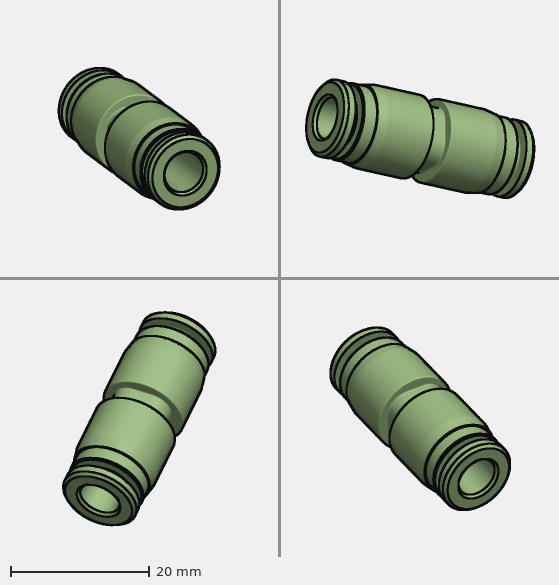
import cadquery as cq


overall_length = 32.4
flange_end = 1.65
body_start = 3.0
taper_start = 5.3
taper_end = 7.0
waist_length = 3.0

sleeve_radius = 6.2
taper_small_radius = 5.9
collar_radius = 5.7
groove_radius = 3.95
waist_width = 8.9
waist_corner_radius = 3.05

mouth_radius = 3.4
tube_radius = 3.05
through_radius = 2.5
mouth_depth = 0.5
tube_depth = 13.0

flange_chamfer = 0.5
collar_chamfer = 0.2
groove_fillet = 0.25
sleeve_fillet = 0.2
waist_fillet = 0.2
seat_root_fillet = 0.3
seat_lip_fillet = 0.2

half_length = overall_length / 2
selection_margin = 0.02
shoulder = half_length - waist_length / 2


def outer_half():
    """Release collar, groove and sleeve of the -X half, turned about the X axis."""
    profile = (
        cq.Workplane("XY")
        .moveTo(0, 0)
        .lineTo(0, collar_radius - flange_chamfer)
        .lineTo(flange_chamfer, collar_radius)
        .lineTo(flange_end, collar_radius)
        .lineTo(flange_end, groove_radius + groove_fillet)
        .radiusArc((flange_end + groove_fillet, groove_radius), -groove_fillet)
        .lineTo(body_start, groove_radius)
        .lineTo(body_start, collar_radius - collar_chamfer)
        .lineTo(body_start + collar_chamfer, collar_radius)
        .lineTo(taper_start, collar_radius)
        .lineTo(taper_start, taper_small_radius)
        .lineTo(taper_end, sleeve_radius)
        .lineTo(shoulder - sleeve_fillet, sleeve_radius)
        .radiusArc((shoulder, sleeve_radius - sleeve_fillet), sleeve_fillet)
        .lineTo(shoulder, 0)
        .close()
    )
    return profile.revolve(360, (0, 0, 0), (1, 0, 0)).translate((-half_length, 0, 0))


def waist():
    """Rounded-square bar between the two sleeves, overlapping into both."""
    overlap = 1.0
    bar_length = waist_length + 2 * overlap
    return (
        cq.Workplane("YZ")
        .rect(waist_width, waist_width)
        .extrude(bar_length / 2, both=True)
        .edges("|X")
        .fillet(waist_corner_radius)
    )


def bore_half():
    """Flared mouth, tube socket, narrow seat with rounded corners and through passage of the -X half."""
    profile = (
        cq.Workplane("XY")
        .moveTo(0, 0)
        .lineTo(0, mouth_radius)
        .lineTo(mouth_depth, tube_radius)
        .lineTo(tube_depth - seat_root_fillet, tube_radius)
        .radiusArc((tube_depth, tube_radius - seat_root_fillet), seat_root_fillet)
        .lineTo(tube_depth, through_radius + seat_lip_fillet)
        .radiusArc((tube_depth + seat_lip_fillet, through_radius), -seat_lip_fillet)
        .lineTo(half_length, through_radius)
        .lineTo(half_length, 0)
        .close()
    )
    return profile.revolve(360, (0, 0, 0), (1, 0, 0)).translate((-half_length, 0, 0))


def both_ends(half):
    """Join a half with its mirror image across the middle of the part."""
    return half.union(half.mirror("YZ"))


def fillet_waist_roots(body):
    """Round the inside corners where the waist meets the sleeve shoulders."""
    reach = waist_width / 2 + selection_margin
    for side in (-1, 1):
        root_x = side * waist_length / 2
        root = cq.selectors.BoxSelector(
            (root_x - selection_margin, -reach, -reach),
            (root_x + selection_margin, reach, reach),
            boundingbox=True,
        )
        body = body.edges(root).fillet(waist_fillet)
    return body


body = fillet_waist_roots(both_ends(outer_half()).union(waist()))
result = body.cut(both_ends(bore_half()))